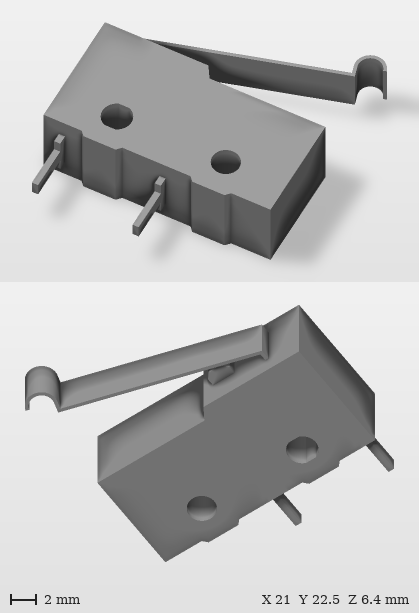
import cadquery as cq
import math


body_length = 19.85
body_height = 10.2
body_thickness = 6.4
step_drop = 1.08
step_top_x = 9.05
step_bottom_x = 9.72

hole_diameter = 2.35
flatted_hole_diameter = 2.52
flatted_hole_x = 5.1
hole_spacing = 9.52
hole_y = 2.5
pad_base_length = 3.55
pad_top_length = 2.81
pad_height = 0.4

terminal_x = 1.62
terminal_spacing = 8.8
terminal_thickness = 0.55
terminal_length = 4.5
terminal_width = 1.17
shoulder_length = 0.8
shoulder_width = 3.2

plunger_x = 7.1
plunger_width = 2.02
plunger_side_height = 0.68
plunger_height = 1.24

lever_width = 3.6
lever_thickness = 0.3
lever_foot_x = 2.85
lever_tilt = math.radians(16)
hook_radius = 1.3
hook_inner_radius = hook_radius - lever_thickness
hook_x = 19.78
hook_y = 22.5 - terminal_length - hook_radius
hook_leg_length = 1.0


def extrude_centred(profile, width):
    """Extrude a closed XY profile evenly about Z = 0."""
    return profile.extrude(width / 2, both=True)


def make_housing():
    profile = cq.Workplane("XY").polyline([
        (0, 0),
        (body_length, 0),
        (body_length, body_height - step_drop),
        (step_bottom_x, body_height - step_drop),
        (step_top_x, body_height),
        (0, body_height),
    ]).close()
    return extrude_centred(profile, body_thickness)


def make_pad(centre_x):
    profile = cq.Workplane("XY").polyline([
        (centre_x - pad_base_length / 2, 0),
        (centre_x - pad_top_length / 2, -pad_height),
        (centre_x + pad_top_length / 2, -pad_height),
        (centre_x + pad_base_length / 2, 0),
    ]).close()
    return extrude_centred(profile, body_thickness)


def make_hole(centre_x, diameter):
    profile = cq.Workplane("XY").center(centre_x, hole_y).circle(diameter / 2)
    return extrude_centred(profile, body_thickness)


def make_terminal(centre_x):
    """T-shaped blade: a wide shoulder at the housing and a narrow pin."""
    shoulder = cq.Workplane("XY").box(terminal_thickness, shoulder_length, shoulder_width)
    pin = cq.Workplane("XY").box(terminal_thickness, terminal_length, terminal_width)
    shoulder = shoulder.translate((centre_x, -shoulder_length / 2, 0))
    pin = pin.translate((centre_x, -terminal_length / 2, 0))
    return shoulder.union(pin)


def make_plunger():
    left = plunger_x - plunger_width / 2
    right = plunger_x + plunger_width / 2
    side_top = body_height + plunger_side_height
    profile = (
        cq.Workplane("XY")
        .moveTo(left, body_height)
        .lineTo(right, body_height)
        .lineTo(right, side_top)
        .threePointArc((plunger_x, body_height + plunger_height), (left, side_top))
        .close()
    )
    return extrude_centred(profile, plunger_width)


def lever_point(along, across):
    """Point measured from the hook centre, along and square to the tilted arm."""
    return (
        hook_x + along * math.cos(lever_tilt) - across * math.sin(lever_tilt),
        hook_y + along * math.sin(lever_tilt) + across * math.cos(lever_tilt),
    )


def make_lever():
    heel = lever_point(-hook_inner_radius, -hook_leg_length)
    inner_corner = lever_point(-hook_radius, lever_thickness - hook_leg_length)
    foot_left = lever_foot_x
    foot_right = lever_foot_x + lever_thickness
    slope = math.tan(lever_tilt)
    knee_under = (foot_right, heel[1] - (heel[0] - foot_right) * slope)
    knee_over = (foot_left, inner_corner[1] - (inner_corner[0] - foot_left) * slope)
    profile = (
        cq.Workplane("XY")
        .moveTo(foot_left, body_height)
        .lineTo(foot_right, body_height)
        .lineTo(*knee_under)
        .lineTo(*heel)
        .lineTo(*lever_point(-hook_inner_radius, 0))
        .threePointArc(lever_point(0, hook_inner_radius), lever_point(hook_inner_radius, 0))
        .lineTo(*lever_point(hook_radius, 0))
        .threePointArc(lever_point(0, hook_radius), lever_point(-hook_radius, 0))
        .lineTo(*inner_corner)
        .lineTo(*knee_over)
        .close()
    )
    return extrude_centred(profile, lever_width)


flatted_hole = make_hole(flatted_hole_x, flatted_hole_diameter).intersect(
    cq.Workplane("XY")
    .box(flatted_hole_diameter, hole_diameter, body_thickness)
    .translate((flatted_hole_x, hole_y, 0))
)
round_hole = make_hole(flatted_hole_x + hole_spacing, hole_diameter)

result = make_housing()
for pad_x in (flatted_hole_x, flatted_hole_x + hole_spacing):
    result = result.union(make_pad(pad_x))
result = result.cut(flatted_hole).cut(round_hole)
for blade_x in (terminal_x, terminal_x + terminal_spacing):
    result = result.union(make_terminal(blade_x))
result = result.union(make_plunger()).union(make_lever())